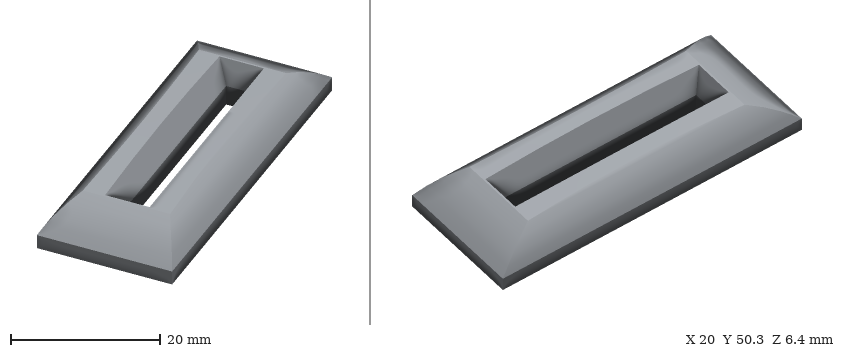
import cadquery as cq

length = 50.3
width = 20.0
height = 6.4
rim_height = 2.1

crown_width = 11.95
crown_length = 36.45
crown_end_height = 6.1
flank_bulge = 0.4

slot_width = 2.8
slot_length = 32.15
flare_start = 3.0
slot_flare = 2.05


def flanked_outline(plane, base, top, shoulder_height):
    """Outline with upright rims, bulging flanks and a flat or arched top."""
    half_base = base / 2
    half_top = top / 2
    outline = (
        cq.Workplane(plane)
        .moveTo(-half_base, 0)
        .lineTo(half_base, 0)
        .lineTo(half_base, rim_height)
        .sagittaArc((half_top, shoulder_height), -flank_bulge)
    )
    if shoulder_height < height:
        outline = outline.threePointArc((0, height), (-half_top, shoulder_height))
    else:
        outline = outline.lineTo(-half_top, height)
    return outline.sagittaArc((-half_base, rim_height), -flank_bulge).close()


def crowned_body():
    """Intersect the crowned side profile with the flat-topped cross-section."""
    side_profile = flanked_outline("YZ", length, crown_length, crown_end_height)
    cross_section = flanked_outline("XZ", width, crown_width, height)
    lengthwise = side_profile.extrude(width / 2, both=True)
    crosswise = cross_section.extrude(length / 2, both=True)
    return lengthwise.intersect(crosswise)


def flared_slot():
    """Rectangular through slot whose upper walls slope outward."""
    straight = cq.Workplane("XY").rect(slot_width, slot_length).extrude(flare_start)
    flared = (
        cq.Workplane("XY")
        .workplane(offset=flare_start)
        .rect(slot_width, slot_length)
        .workplane(offset=height - flare_start)
        .rect(slot_width + 2 * slot_flare, slot_length + 2 * slot_flare)
        .loft(ruled=True)
    )
    return straight.union(flared)


result = crowned_body().cut(flared_slot())